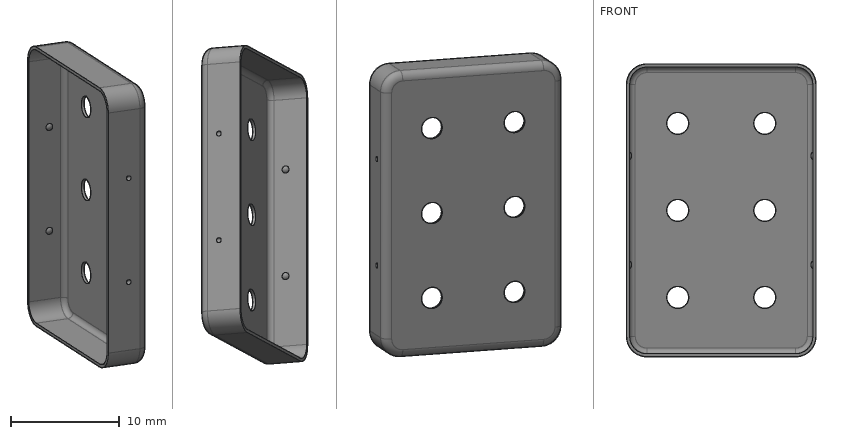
import cadquery as cq
import math

width = 17.4
depth = 4.0
height = 26.9
wall = 0.3
corner_radius = 1.88
floor_edge_radius = 0.8

hole_diameter = 2.0
hole_pitch = 8.0
hole_columns = 2
hole_rows = 3

bump_pitch = 10.0
bump_from_rim = 2.07
bump_diameter = 0.67
bump_rise = 0.2
dimple_diameter = 0.45
dimple_depth = 0.2
plug_length = 0.13


def rounded_block(inset):
    """Block inset from the tray's sides and floor, with rounded corners and floor edge."""
    block = cq.Workplane("XY").box(width - 2 * inset, depth - inset, height - 2 * inset)
    block = block.translate((0, (depth - inset) / 2, 0))
    block = block.edges("|Y").fillet(corner_radius - inset)
    return block.faces(">Y").edges().fillet(floor_edge_radius - inset)


def dome(base_x, y, z, side, base_diameter, rise):
    """Spherical cap rising inwards from the plane x = side * base_x, with a plug filling outwards."""
    base_radius = base_diameter / 2
    radius = (base_radius**2 + rise**2) / (2 * rise)
    center_offset = radius - rise
    mid_rise = math.sqrt(radius**2 - (base_radius / 2) ** 2) - center_offset
    profile = (
        cq.Workplane("XY")
        .moveTo(-plug_length, 0)
        .lineTo(rise, 0)
        .threePointArc((mid_rise, base_radius / 2), (0, base_radius))
        .lineTo(-plug_length, base_radius)
        .close()
    )
    cap = profile.revolve(360, (0, 0, 0), (1, 0, 0))
    if side > 0:
        cap = cap.rotate((0, 0, 0), (0, 0, 1), 180)
    return cap.translate((side * base_x, y, z))


tray = rounded_block(0).cut(rounded_block(wall))

floor_holes = (
    cq.Workplane("XZ")
    .rarray(hole_pitch, hole_pitch, hole_columns, hole_rows)
    .circle(hole_diameter / 2)
    .extrude(-depth)
)
tray = tray.cut(floor_holes)

for side in (-1, 1):
    for z in (-bump_pitch / 2, bump_pitch / 2):
        bump = dome(width / 2 - wall, bump_from_rim, z, side, bump_diameter, bump_rise)
        dimple = dome(width / 2, bump_from_rim, z, side, dimple_diameter, dimple_depth)
        tray = tray.union(bump).cut(dimple)

result = tray